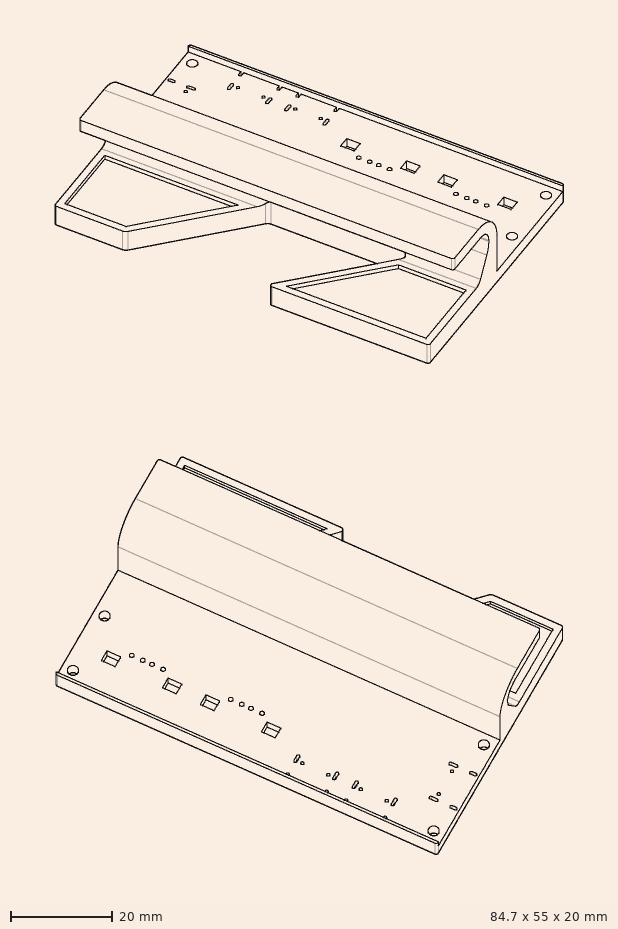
import cadquery as cq
import math

length = 84.7
depth = 55.0
height = 20.0

plate_thickness = 3.0
flange_thickness = 0.6
flange_height = 4.5

hook_back_y = 27.6
hook_tip_y = 10.0
hook_thickness = 3.0
stem_thickness = 3.3
hook_outer_radius = 7.5
hook_inner_radius = 3.3
stem_bend_z = 11.9
stem_bend_radius = 6.0
brace_angle = 60.0
brace_foot_radius = 2.0
foot_thickness = 5.0

left_foot_front = 16.0
right_foot_front = 48.7
right_slant_front = 47.9
opening_back_y = 20.8
left_bend_radius = 1.4
opening_top_z = 8.5
corner_radius = 0.5

tray_border = 1.5
tray_back_y = 17.8
tray_depth = 1.0

mounting_hole_diameter = 2.2
mounting_hole_inset = 2.4
mounting_hole_points = [
    (mounting_hole_inset, 30.0),
    (mounting_hole_inset, 51.8),
    (length - mounting_hole_inset, 38.0),
    (length - mounting_hole_inset, 51.8),
]

recess_depth = 2.0
wide_connector_centers = [48.1, 70.05]
wide_tab_y = 46.1
wide_tab_spacing = 13.55
wide_tab_length = 3.05
wide_tab_width = 2.45
wide_pin_y = 43.5
wide_pin_diameter = 0.9
wide_pin_offsets = [-3.5, -1.0, 1.0, 3.5]

small_back_centers = [16.6, 29.6]
small_left_center = 41.1
small_left_setback = 0.25
small_slot_spacing = 8.6
small_slot_width = 0.64
outer_slot_inset = 1.0
outer_slot_length = 1.5
inner_slot_inset = 5.4
inner_slot_length = 1.9
small_peg_diameter = 0.64
small_peg_inset = 5.0
small_peg_spacing = 5.8


def prism(points, bottom, top):
    """Vertical prism over a closed outline in the XY plane."""
    return cq.Workplane("XY").workplane(offset=bottom).polyline(points).close().extrude(top - bottom)


def fillet_edges(body, direction, points, radius):
    """Round the edge along the direction that lies nearest to each point."""
    for point in points:
        edge = body.edges(direction).edges(cq.selectors.NearestToPointSelector(point))
        body = edge.fillet(radius)
    return body


def hook_and_feet():
    """Constant section of plate, hook and feet, swept along X."""
    stem_front_y = hook_back_y - stem_thickness
    hook_under_z = height - hook_thickness
    brace_run = (stem_bend_z - foot_thickness) / math.tan(math.radians(brace_angle))
    brace_foot_y = stem_front_y - brace_run
    section = [
        (0, 0),
        (depth, 0),
        (depth, plate_thickness),
        (hook_back_y, plate_thickness),
        (hook_back_y, height),
        (hook_tip_y, height),
        (hook_tip_y, hook_under_z),
        (stem_front_y, hook_under_z),
        (stem_front_y, stem_bend_z),
        (brace_foot_y, foot_thickness),
        (0, foot_thickness),
    ]
    body = cq.Workplane("YZ").polyline(section).close().extrude(length)
    middle = length / 2
    rounded_corners = [
        (hook_back_y, height, hook_outer_radius),
        (stem_front_y, hook_under_z, hook_inner_radius),
        (stem_front_y, stem_bend_z, stem_bend_radius),
        (brace_foot_y, foot_thickness, brace_foot_radius),
    ]
    for y, z, radius in rounded_corners:
        body = fillet_edges(body, "|X", [(middle, y, z)], radius)
    return body


def opening_outline():
    """Outline of the space between the feet, clear of the front edge."""
    right_bend_y = right_foot_front - right_slant_front
    return [
        (left_foot_front, -opening_back_y),
        (left_foot_front, 0),
        (left_foot_front + opening_back_y, opening_back_y),
        (right_slant_front + opening_back_y, opening_back_y),
        (right_foot_front, right_bend_y),
        (right_foot_front, -opening_back_y),
    ]


def trays():
    """Shallow trays that leave an even border around each foot."""
    slant_shift = tray_border * math.sqrt(2)
    left_slant = left_foot_front - slant_shift
    right_slant = right_slant_front + slant_shift
    left = [
        (tray_border, tray_border),
        (left_slant + tray_border, tray_border),
        (left_slant + tray_back_y, tray_back_y),
        (tray_border, tray_back_y),
    ]
    right = [
        (right_slant + tray_border, tray_border),
        (length - tray_border, tray_border),
        (length - tray_border, tray_back_y),
        (right_slant + tray_back_y, tray_back_y),
    ]
    floor = foot_thickness - tray_depth
    return prism(left, floor, opening_top_z).union(prism(right, floor, opening_top_z))


def recess_plane():
    """Plane of the recess floors."""
    return cq.Workplane("XY").workplane(offset=plate_thickness - recess_depth)


def wide_connector(center_x):
    """Two rectangular recesses with a row of four pin holes."""
    half = wide_tab_spacing / 2
    tabs = (
        recess_plane()
        .pushPoints([(center_x - half, wide_tab_y), (center_x + half, wide_tab_y)])
        .rect(wide_tab_length, wide_tab_width)
        .extrude(recess_depth)
    )
    pins = (
        recess_plane()
        .pushPoints([(center_x + offset, wide_pin_y) for offset in wide_pin_offsets])
        .circle(wide_pin_diameter / 2)
        .extrude(recess_depth)
    )
    return tabs.union(pins)


def small_connector():
    """Four slots and two peg holes, centred on X = 0 with the board edge at Y = 0."""
    cutter = (
        recess_plane()
        .pushPoints([(side * small_peg_spacing / 2, -small_peg_inset) for side in (-1, 1)])
        .circle(small_peg_diameter / 2)
        .extrude(recess_depth)
    )
    slot_rows = [
        (outer_slot_inset, outer_slot_length),
        (inner_slot_inset, inner_slot_length),
    ]
    for inset, slot_length in slot_rows:
        slots = (
            recess_plane()
            .pushPoints([(side * small_slot_spacing / 2, -inset) for side in (-1, 1)])
            .slot2D(slot_length, small_slot_width, 90)
            .extrude(recess_depth)
        )
        cutter = cutter.union(slots)
    return cutter


body = hook_and_feet()
body = body.cut(prism(opening_outline(), 0, opening_top_z))

body = body.cut(trays())

for center_x in wide_connector_centers:
    body = body.cut(wide_connector(center_x))
for center_x in small_back_centers:
    body = body.cut(small_connector().translate((center_x, depth, 0)))
left_connector = small_connector().rotate((0, 0, 0), (0, 0, 1), 90)
body = body.cut(left_connector.translate((small_left_setback, small_left_center, 0)))
mounting_holes = cq.Workplane("XY").pushPoints(mounting_hole_points).circle(mounting_hole_diameter / 2)
body = body.cut(mounting_holes.extrude(plate_thickness))

flange = cq.Workplane("XY").box(length, flange_thickness, flange_height, centered=False)
body = body.union(flange.translate((0, depth - flange_thickness, 0)))

foot_middle = foot_thickness / 2
left_bends = [
    (left_foot_front, 0, foot_middle),
    (left_foot_front + opening_back_y, opening_back_y, foot_middle),
]
body = fillet_edges(body, "|Z", left_bends, left_bend_radius)
corner_points = [
    (right_slant_front + opening_back_y, opening_back_y, foot_middle),
    (right_foot_front, 0, foot_middle),
]
for x in (0, length):
    corner_points.append((x, 0, foot_middle))
    corner_points.append((x, hook_tip_y, height))
    corner_points.append((x, depth, flange_height / 2))
result = fillet_edges(body, "|Z", corner_points, corner_radius)